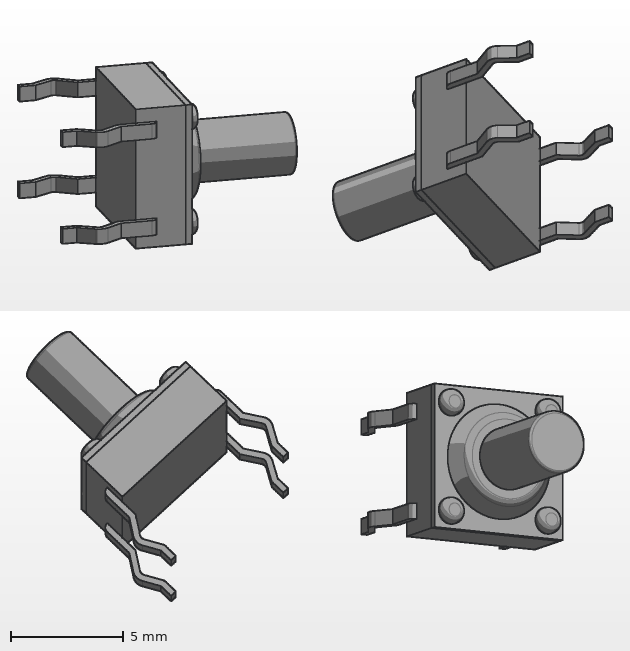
import cadquery as cq
import math


overall_width = 8.27
overall_length = 11.5

body_width = 6.5
housing_height = 2.3
cover_top = 2.6

collar_base_radius = 2.6
collar_top_radius = 2.0
collar_top = 3.4
collar_rim_radius = 0.4

button_radius = 1.4
button_top = 8.0
button_edge_radius = 0.1

rivet_radius = 0.6
rivet_top = 3.0
rivet_edge_radius = 0.3
rivet_offset = 2.45

leg_thickness = 0.3
leg_width = 0.7
leg_offset = 2.25
leg_top = 0.95
leg_bottom = button_top - overall_length
leg_tip_inner_x = 3.35
leg_peak_x = overall_width / 2
leg_peak_y = -1.82
leg_peak_radius = 0.55
upper_slope = math.radians(33)
lower_slope = math.radians(29)

side_x = body_width / 2


def disc(radius, start, end):
    """Cylinder along +Y between two heights."""
    plane = cq.Workplane("XZ", origin=(0, start, 0))
    return plane.circle(radius).extrude(start - end)


def square_block(start, end):
    """Square block of the body width between two heights."""
    plane = cq.Workplane("XZ", origin=(0, start, 0))
    return plane.rect(body_width, body_width).extrude(start - end)


def peak_arc(radius):
    """Upper end, middle and lower end of the outward bend of a leg face."""
    centre_x = leg_peak_x - leg_peak_radius
    return [
        (centre_x + radius * math.cos(angle), leg_peak_y + radius * math.sin(angle))
        for angle in (upper_slope, 0, -lower_slope)
    ]


def make_leg():
    """One leg on the +X side, centred on Z = 0."""
    outer_x = side_x + leg_thickness
    tip_outer_x = leg_tip_inner_x + leg_thickness
    outer_upper, outer_middle, outer_lower = peak_arc(leg_peak_radius)
    inner_upper, inner_middle, inner_lower = peak_arc(leg_peak_radius - leg_thickness)

    def upper_bend(x, arc_end):
        return (x, arc_end[1] + (arc_end[0] - x) / math.tan(upper_slope))

    def lower_bend(x, arc_end):
        return (x, arc_end[1] - (arc_end[0] - x) / math.tan(lower_slope))

    profile = (
        cq.Workplane("XY", origin=(0, 0, -leg_width / 2))
        .moveTo(side_x, leg_top)
        .radiusArc((outer_x, leg_top - leg_thickness), leg_thickness)
        .lineTo(*upper_bend(outer_x, outer_upper))
        .lineTo(*outer_upper)
        .threePointArc(outer_middle, outer_lower)
        .lineTo(*lower_bend(tip_outer_x, outer_lower))
        .lineTo(tip_outer_x, leg_bottom)
        .lineTo(leg_tip_inner_x, leg_bottom)
        .lineTo(*lower_bend(leg_tip_inner_x, inner_lower))
        .lineTo(*inner_lower)
        .threePointArc(inner_middle, inner_upper)
        .lineTo(*upper_bend(side_x, inner_upper))
        .close()
    )
    return profile.extrude(leg_width)


def make_housing():
    """Housing block with its four legs."""
    housing = square_block(0, housing_height)
    right_leg = make_leg()
    left_leg = right_leg.mirror("YZ")
    for z in (-leg_offset, leg_offset):
        for leg in (right_leg, left_leg):
            housing = housing.union(leg.translate((0, 0, z)))
    return housing


def make_collar():
    """Conical collar standing on the cover plate."""
    cone = cq.Solid.makeCone(
        collar_base_radius,
        collar_top_radius,
        collar_top - cover_top,
        pnt=cq.Vector(0, cover_top, 0),
        dir=cq.Vector(0, 1, 0),
    )
    return cq.Workplane(cone).faces(">Y").edges().fillet(collar_rim_radius)


def make_rivet():
    """Rounded rivet head on the button axis."""
    head = disc(rivet_radius, cover_top, rivet_top)
    return head.faces(">Y").edges().fillet(rivet_edge_radius)


def make_button():
    """Round button standing on the collar."""
    shaft = disc(button_radius, collar_top, button_top)
    return shaft.faces(">Y").edges().fillet(button_edge_radius)


def make_cover():
    """Cover plate with rivet heads, collar and button."""
    cover = square_block(housing_height, cover_top)
    cover = cover.union(make_collar()).union(make_button())
    rivet = make_rivet()
    for x in (-rivet_offset, rivet_offset):
        for z in (-rivet_offset, rivet_offset):
            cover = cover.union(rivet.translate((x, 0, z)))
    return cover


housing = make_housing()
cover = make_cover()

result = cq.Compound.makeCompound([housing.solids().val(), cover.solids().val()])